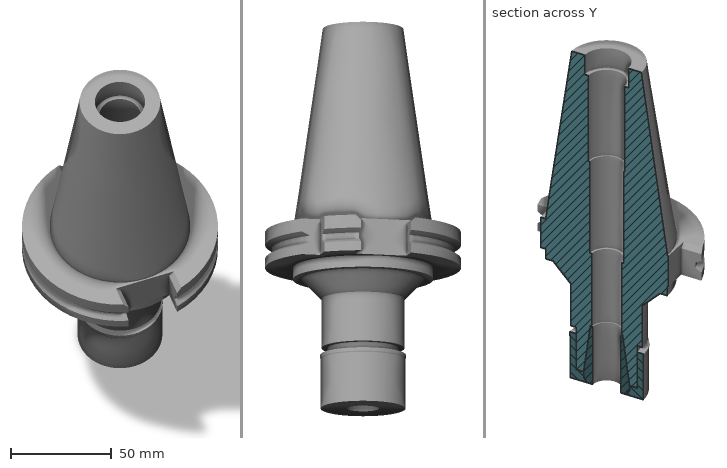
import cadquery as cq
import math

TOTAL_HEIGHT = 191.8
TAPER_HEIGHT = 101.8
GAUGE_Z = TOTAL_HEIGHT - TAPER_HEIGHT
GAUGE_BAND_HEIGHT = 1.0
FLANGE_TOP_Z = GAUGE_Z - GAUGE_BAND_HEIGHT
FLANGE_THICKNESS = 18.0
FLANGE_BOTTOM_Z = FLANGE_TOP_Z - FLANGE_THICKNESS
COLLAR_BOTTOM_Z = 65.2
SHANK_TOP_Z = 55.2
SHANK_BOTTOM_Z = 30.5
NUT_HEIGHT = 27.0

GAUGE_RADIUS = 34.9
TAPER_RATIO = 7 / 24
TAPER_TOP_RADIUS = GAUGE_RADIUS - TAPER_HEIGHT * TAPER_RATIO / 2
FLANGE_RADIUS = 48.7
SHANK_RADIUS = 20.7
CONE_TOP_RADIUS = SHANK_RADIUS + COLLAR_BOTTOM_Z - SHANK_TOP_Z
NOSE_RADIUS = 17.6

GROOVE_FLANK_ANGLE = 30.0
GROOVE_Z = 79.0
GROOVE_FLOOR_WIDTH = 3.0
GROOVE_FLOOR_RADIUS = 45.5
GROOVE_DEPTH = FLANGE_RADIUS - GROOVE_FLOOR_RADIUS
GROOVE_FLANK_RISE = GROOVE_DEPTH * math.tan(math.radians(GROOVE_FLANK_ANGLE))

SLOT_WIDTH = 25.7
SLOT_FLOOR_DISTANCES = {-1: 37.8, 1: 35.5}
SLOT_CHAMFER = 2.5
NOTCH_OFFSET = 29.5

PILOT_BORE_RADIUS = 12.5
PILOT_BORE_DEPTH = 11.3
THREAD_BORE_RADIUS = 10.4
THREAD_BORE_DEPTH = 61.4
RELIEF_BORE_RADIUS = 9.5
RELIEF_BORE_DEPTH = 115.0
PASSAGE_RADIUS = 8.5

COLLET_LENGTH = 34.0
COLLET_BORE_RADIUS = 7.9
COLLET_RADIUS = 13.0
COLLET_TAPER_ANGLE = 8.0
COLLET_FRONT_RADIUS = 11.1
COLLET_SHOULDER_Z = 3.3
COLLET_TAPER_Z = 5.8
COLLET_END_RADIUS = (
    COLLET_RADIUS - (COLLET_LENGTH - COLLET_TAPER_Z) * math.tan(math.radians(COLLET_TAPER_ANGLE))
)

NUT_RADIUS = 21.0
NUT_RIM_RADIUS = 21.3
NUT_RIM_BOTTOM_Z = 25.3
NUT_RIM_CHAMFER_Z = 24.7


def revolve_profile(points):
    """Turn a closed (radius, height) outline about the Z axis."""
    return cq.Workplane("XZ").polyline(points).close().revolve(360, (0, 0, 0), (0, 1, 0))


def holder_blank():
    """Turned holder outline with its stepped bore and the collet's tapered socket."""
    floor_half = GROOVE_FLOOR_WIDTH / 2
    mouth_half = floor_half + GROOVE_FLANK_RISE
    pilot_floor_z = TOTAL_HEIGHT - PILOT_BORE_DEPTH
    thread_floor_z = TOTAL_HEIGHT - THREAD_BORE_DEPTH
    relief_floor_z = TOTAL_HEIGHT - RELIEF_BORE_DEPTH
    outside = [
        (COLLET_RADIUS, COLLET_TAPER_Z),
        (NOSE_RADIUS, COLLET_TAPER_Z),
        (NOSE_RADIUS, SHANK_BOTTOM_Z),
        (SHANK_RADIUS, SHANK_BOTTOM_Z),
        (SHANK_RADIUS, SHANK_TOP_Z),
        (CONE_TOP_RADIUS, COLLAR_BOTTOM_Z),
        (GAUGE_RADIUS, COLLAR_BOTTOM_Z),
        (GAUGE_RADIUS, FLANGE_BOTTOM_Z),
        (FLANGE_RADIUS, FLANGE_BOTTOM_Z),
        (FLANGE_RADIUS, GROOVE_Z - mouth_half),
        (GROOVE_FLOOR_RADIUS, GROOVE_Z - floor_half),
        (GROOVE_FLOOR_RADIUS, GROOVE_Z + floor_half),
        (FLANGE_RADIUS, GROOVE_Z + mouth_half),
        (FLANGE_RADIUS, FLANGE_TOP_Z),
        (GAUGE_RADIUS, FLANGE_TOP_Z),
        (GAUGE_RADIUS, GAUGE_Z),
        (TAPER_TOP_RADIUS, TOTAL_HEIGHT),
    ]
    bore = [
        (PILOT_BORE_RADIUS, TOTAL_HEIGHT),
        (PILOT_BORE_RADIUS, pilot_floor_z),
        (THREAD_BORE_RADIUS, pilot_floor_z),
        (THREAD_BORE_RADIUS, thread_floor_z),
        (RELIEF_BORE_RADIUS, thread_floor_z),
        (RELIEF_BORE_RADIUS, relief_floor_z),
        (PASSAGE_RADIUS, relief_floor_z),
        (PASSAGE_RADIUS, COLLET_LENGTH),
        (COLLET_END_RADIUS, COLLET_LENGTH),
    ]
    return revolve_profile(outside + bore)


def drive_slot(side):
    """Cutter for one drive slot; side is -1 or +1 along X."""
    floor_distance = SLOT_FLOOR_DISTANCES[side]
    half_width = SLOT_WIDTH / 2
    chamfer_z = FLANGE_TOP_Z - SLOT_CHAMFER
    outline = [
        (-half_width, FLANGE_BOTTOM_Z),
        (half_width, FLANGE_BOTTOM_Z),
        (half_width, chamfer_z),
        (half_width + SLOT_CHAMFER, FLANGE_TOP_Z),
        (-half_width - SLOT_CHAMFER, FLANGE_TOP_Z),
        (-half_width, chamfer_z),
    ]
    return (
        cq.Workplane("YZ", origin=(side * floor_distance, 0, 0))
        .polyline(outline)
        .close()
        .extrude(side * (FLANGE_RADIUS - floor_distance))
    )


def orientation_notch():
    """Cutter for the square notch in the flange's -X, +Y quarter."""
    size = FLANGE_RADIUS - NOTCH_OFFSET
    return (
        cq.Workplane("XY", origin=(-FLANGE_RADIUS, NOTCH_OFFSET, FLANGE_BOTTOM_Z))
        .rect(size, size, centered=False)
        .extrude(FLANGE_THICKNESS)
    )


def make_holder():
    """Tool holder: taper, grooved flange, shank and nose."""
    body = holder_blank().cut(orientation_notch())
    for side in SLOT_FLOOR_DISTANCES:
        body = body.cut(drive_slot(side))
    return body


def make_nut():
    """Clamping nut around the holder's nose and the front of the collet."""
    return revolve_profile([
        (COLLET_FRONT_RADIUS, 0),
        (NUT_RADIUS, 0),
        (NUT_RADIUS, NUT_RIM_CHAMFER_Z),
        (NUT_RIM_RADIUS, NUT_RIM_BOTTOM_Z),
        (NUT_RIM_RADIUS, NUT_HEIGHT),
        (NOSE_RADIUS, NUT_HEIGHT),
        (NOSE_RADIUS, COLLET_TAPER_Z),
        (COLLET_RADIUS, COLLET_TAPER_Z),
        (COLLET_RADIUS, COLLET_SHOULDER_Z),
    ])


def make_collet():
    """Bored collet that tapers up into the holder."""
    return revolve_profile([
        (COLLET_BORE_RADIUS, 0),
        (COLLET_FRONT_RADIUS, 0),
        (COLLET_RADIUS, COLLET_SHOULDER_Z),
        (COLLET_RADIUS, COLLET_TAPER_Z),
        (COLLET_END_RADIUS, COLLET_LENGTH),
        (COLLET_BORE_RADIUS, COLLET_LENGTH),
    ])


holder = make_holder()
nut = make_nut()
collet = make_collet()

result = cq.Compound.makeCompound([holder.val(), nut.val(), collet.val()])